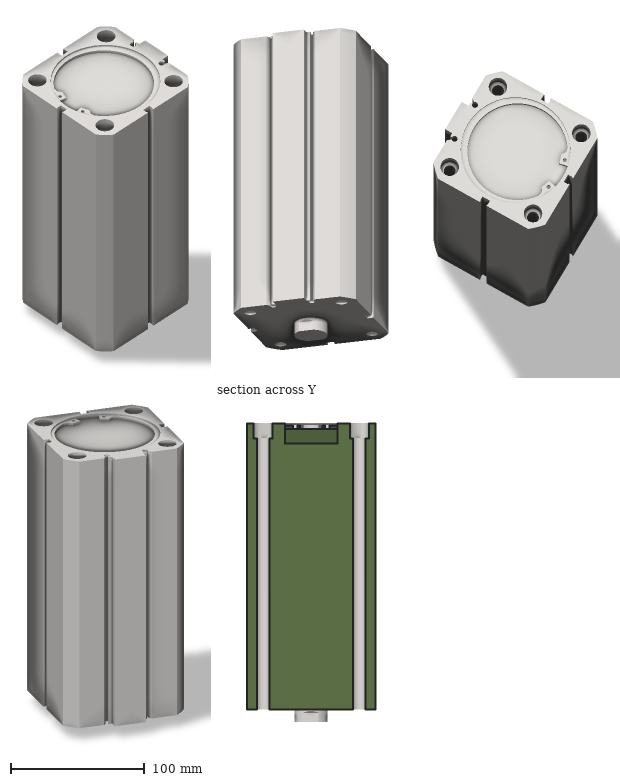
import cadquery as cq
import math

total_height = 223.5
rod_protrusion = 9.5
body_height = total_height - rod_protrusion
body_half_width = 48.3
corner_start = 39.0

rail_half_width = 12.3
rail_height = 5.4
rail_groove_x = 15.2
rail_groove_y = 43.8
rail_groove_radius = 2.2
rail_shoulder_drop = 0.7
channel_outer_x = 19.0
channel_throat_x = 16.5
channel_throat_y = 45.1

slot_mouth_width = 5.5
slot_inner_width = 6.5
slot_depth = 4.7
slot_lip = 1.1

hole_position = 36.0
hole_diameter = 9.0
counterbore_diameter = 13.9
counterbore_depth = 11.2

bore_diameter = 82.0
bore_radius = bore_diameter / 2
ring_recess = 1.3
ring_thickness = 2.5
cover_thickness = 11.2
ring_bottom = body_height - ring_recess - ring_thickness
cover_bottom = ring_bottom - cover_thickness

ring_inner_radius = 37.5
ring_inner_offset = 1.8
ear_end_angle = 13.0
ear_corner_angle = 25.0
ear_foot_angle = 28.5
ring_arc_start_angle = 35.0
ear_inner_radius = 34.2
ear_foot_radius = 37.8
ear_hole_angle = 18.7
ear_hole_position_radius = 37.5
ear_hole_diameter = 3.0

rod_radius = 12.5
rod_socket_depth = 11.2
flat_half_width = 11.2
flat_start_drop = 1.23


def housing_block():
    """Square prism whose corners are arcs about the central axis."""
    a = body_half_width
    c = corner_start
    mid = math.hypot(a, c) / math.sqrt(2)
    return (
        cq.Workplane("XY")
        .moveTo(-c, -a)
        .lineTo(c, -a)
        .threePointArc((mid, -mid), (a, -c))
        .lineTo(a, c)
        .threePointArc((mid, mid), (c, a))
        .lineTo(-c, a)
        .threePointArc((-mid, mid), (-a, c))
        .lineTo(-a, -c)
        .threePointArc((-mid, -mid), (-c, -a))
        .close()
        .extrude(body_height)
    )


def sensor_rail():
    """Raised rail along the full height of the +Y side."""
    rail_base = rail_groove_y
    rail_top = body_half_width + rail_height
    return (
        cq.Workplane("XY")
        .center(0, (rail_base + rail_top) / 2)
        .rect(2 * rail_half_width, rail_top - rail_base)
        .extrude(body_height)
    )


def rail_groove():
    """Keyhole groove on the +X flank of the rail: a round bottom and a sloped channel."""
    round_bottom = (
        cq.Workplane("XY")
        .center(rail_groove_x, rail_groove_y)
        .circle(rail_groove_radius)
        .extrude(body_height)
    )
    shoulder_y = body_half_width - rail_shoulder_drop
    channel = (
        cq.Workplane("XY")
        .moveTo(rail_half_width, body_half_width)
        .lineTo(rail_half_width, shoulder_y)
        .lineTo(rail_groove_x, shoulder_y)
        .lineTo(rail_groove_x, rail_groove_y)
        .lineTo(channel_throat_x, rail_groove_y)
        .lineTo(channel_throat_x, channel_throat_y)
        .lineTo(channel_outer_x, body_half_width)
        .close()
        .extrude(body_height)
    )
    return round_bottom.union(channel)


def t_slot():
    """T-slot cutter in the -Y side: a narrow mouth and a wider inside."""
    face_y = -body_half_width
    mouth = slot_mouth_width / 2
    inside = slot_inner_width / 2
    right_side = [
        (mouth, face_y),
        (mouth, face_y + slot_lip),
        (inside, face_y + slot_lip),
        (inside, face_y + slot_depth),
    ]
    left_side = [(-x, y) for x, y in reversed(right_side)]
    return cq.Workplane("XY").polyline(right_side + left_side).close().extrude(body_height)


def make_housing():
    housing = housing_block().union(sensor_rail())
    groove = rail_groove()
    housing = housing.cut(groove).cut(groove.mirror("YZ"))
    for angle in (-90, 0, 90):
        housing = housing.cut(t_slot().rotate((0, 0, 0), (0, 0, 1), angle))
    housing = (
        housing.faces(">Z")
        .workplane(origin=(0, 0, body_height))
        .rect(2 * hole_position, 2 * hole_position, forConstruction=True)
        .vertices()
        .cboreHole(hole_diameter, counterbore_diameter, counterbore_depth)
    )
    bore = (
        cq.Workplane("XY", origin=(0, 0, cover_bottom))
        .circle(bore_radius)
        .extrude(body_height - cover_bottom)
    )
    rod_socket = cq.Workplane("XY").circle(rod_radius).extrude(rod_socket_depth)
    return housing.cut(bore).cut(rod_socket)


def make_cover():
    return cq.Workplane("XY", origin=(0, 0, cover_bottom)).circle(bore_radius).extrude(cover_thickness)


def point_from_minus_y(radius, angle):
    """Point at a radius from the axis and an angle from -Y, positive toward +X."""
    turn = math.radians(angle)
    return (radius * math.sin(turn), -radius * math.cos(turn))


def ring_inner_point(angle):
    """Point on the ring's off-centre inner circle."""
    x, y = point_from_minus_y(ring_inner_radius, angle)
    return (x, y - ring_inner_offset)


def make_ring():
    """Open retaining ring, widest opposite its gap, with a drilled ear at each end."""
    ear_middle_angle = (ear_end_angle + ear_corner_angle) / 2
    ring = (
        cq.Workplane("XY", origin=(0, 0, ring_bottom))
        .moveTo(*point_from_minus_y(bore_radius, ear_end_angle))
        .threePointArc((0, bore_radius), point_from_minus_y(bore_radius, -ear_end_angle))
        .lineTo(*point_from_minus_y(ear_inner_radius, -ear_end_angle))
        .threePointArc(
            point_from_minus_y(ear_inner_radius, -ear_middle_angle),
            point_from_minus_y(ear_inner_radius, -ear_corner_angle),
        )
        .lineTo(*point_from_minus_y(ear_foot_radius, -ear_foot_angle))
        .lineTo(*ring_inner_point(-ring_arc_start_angle))
        .threePointArc(ring_inner_point(180), ring_inner_point(ring_arc_start_angle))
        .lineTo(*point_from_minus_y(ear_foot_radius, ear_foot_angle))
        .lineTo(*point_from_minus_y(ear_inner_radius, ear_corner_angle))
        .threePointArc(
            point_from_minus_y(ear_inner_radius, ear_middle_angle),
            point_from_minus_y(ear_inner_radius, ear_end_angle),
        )
        .close()
        .extrude(ring_thickness)
    )
    ear_holes = (
        cq.Workplane("XY", origin=(0, 0, ring_bottom))
        .pushPoints(
            [point_from_minus_y(ear_hole_position_radius, side * ear_hole_angle) for side in (-1, 1)]
        )
        .circle(ear_hole_diameter / 2)
        .extrude(ring_thickness)
    )
    return ring.cut(ear_holes)


def make_rod():
    """Round rod with two wrench flats across Y, each with a 45-degree run-in."""
    rod = (
        cq.Workplane("XY", origin=(0, 0, -rod_protrusion))
        .circle(rod_radius)
        .extrude(rod_protrusion + rod_socket_depth)
    )
    flat_depth = rod_radius - flat_half_width
    flat = (
        cq.Workplane("YZ")
        .moveTo(rod_radius, -flat_start_drop)
        .lineTo(flat_half_width, -flat_start_drop - flat_depth)
        .lineTo(flat_half_width, -rod_protrusion)
        .lineTo(rod_radius, -rod_protrusion)
        .close()
        .extrude(rod_radius, both=True)
    )
    return rod.cut(flat).cut(flat.mirror("XZ"))


housing = make_housing()
cover = make_cover()
ring = make_ring()
rod = make_rod()

result = cq.Compound.makeCompound([housing.val(), cover.val(), ring.val(), rod.val()])